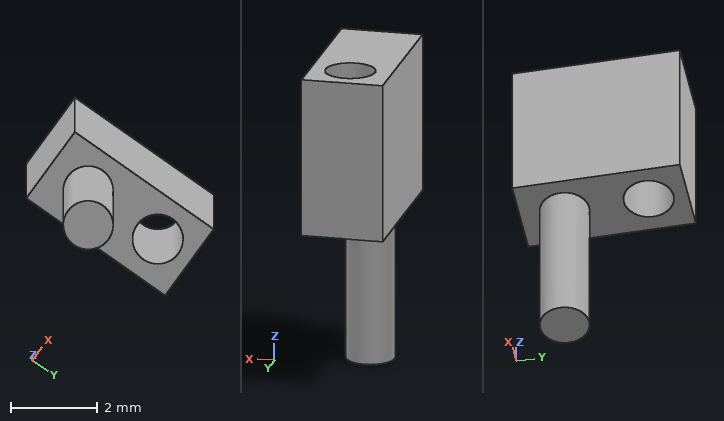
import cadquery as cq

block_width = 1.94
block_depth = 3.97
total_height = 7.62
block_height = 3.81
pin_length = total_height - block_height

axis_offset_x = 0.02

pin_diameter = 1.16
pin_from_front = 1.06
pin_y = -block_depth / 2 + pin_from_front

hole_diameter = 1.17
hole_from_back = 0.92
hole_y = block_depth / 2 - hole_from_back


def vertical_cylinder(diameter, y, bottom, height):
    """Round bar along Z, standing on the given bottom height."""
    return (
        cq.Workplane("XY", origin=(axis_offset_x, y, bottom))
        .circle(diameter / 2)
        .extrude(height)
    )


block = cq.Workplane("XY").box(block_width, block_depth, block_height, centered=(True, True, False))
pin = vertical_cylinder(pin_diameter, pin_y, -pin_length, pin_length)
through_hole = vertical_cylinder(hole_diameter, hole_y, 0, block_height)

result = block.union(pin).cut(through_hole)